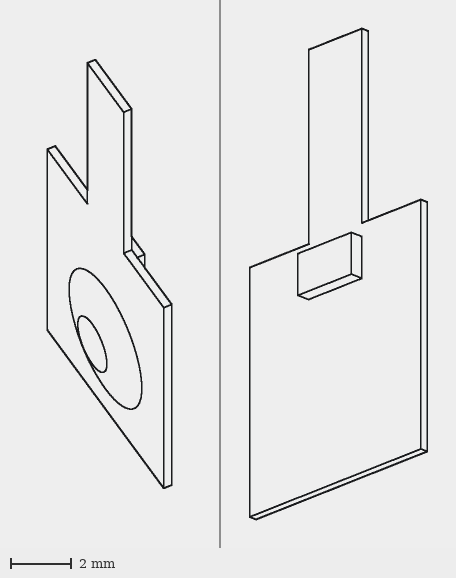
import cadquery as cq

total_height = 16.0
body_width = 8.0
body_height = 9.0
tab_width = 2.5
plate_thickness = 0.3

cone_base_diameter = 5.0
cone_tip_diameter = 2.0
cone_height = 0.5
cone_center_z = 3.5

block_width = tab_width
block_height = 1.5
block_depth = 0.5
block_bottom_z = 7.0


def upright_slab(width, depth, height, front_y, bottom_z):
    """Box centred on X = 0, placed by its front face and bottom edge."""
    slab = cq.Workplane("XY").box(width, depth, height, centered=(True, False, False))
    return slab.translate((0, front_y, bottom_z))


def front_cone():
    """Cone frustum narrowing toward -Y, with its base on the plate."""
    cone = cq.Solid.makeCone(
        cone_base_diameter / 2,
        cone_tip_diameter / 2,
        cone_height,
        pnt=cq.Vector(0, 0, cone_center_z),
        dir=cq.Vector(0, -1, 0),
    )
    return cq.Workplane(obj=cone)


body = upright_slab(body_width, plate_thickness, body_height, 0, 0)
tab = upright_slab(tab_width, plate_thickness, total_height - body_height, 0, body_height)
block = upright_slab(block_width, block_depth, block_height, plate_thickness, block_bottom_z)

result = body.union(tab).union(block).union(front_cone()).clean()